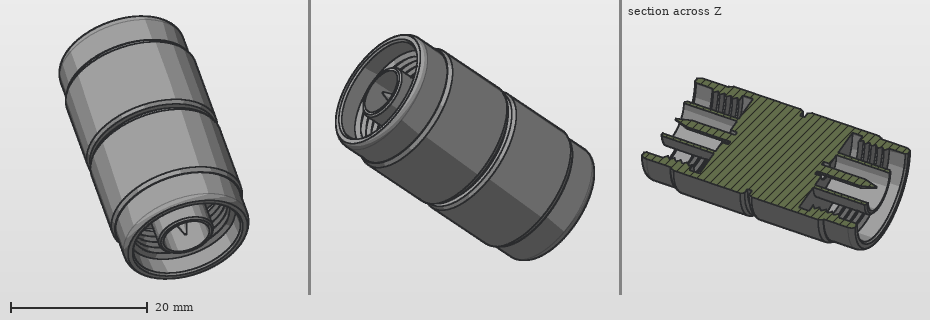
import cadquery as cq

length = 34.8
half_length = length / 2
sleeve_radius = 20.0 / 2
nose_radius = 19.1 / 2
groove_radius = 17.5 / 2
groove_width = 0.7

nose_round_length = 0.97
nose_face_radius = 9.12
nose_length = 4.9
sleeve_bevel_length = 0.7
sleeve_back_bevel = 0.6
sleeve_bevel_radius = 9.67

mouth_radius = 8.42
mouth_chamfer_depth = 0.35
bore_radius = 16.32 / 2
bore_depth = 2.95
thread_crest_radius = 7.45
thread_root_radius = 16.0 / 2
thread_pitch = 1.05
crest_count = 5
relief_radius = 17.6 / 2
socket_depth = 9.25

tube_radius = 8.35 / 2
tube_bore_radius = 7.0 / 2
tube_chamfer = 0.28
tube_setback = 0.63
pin_radius = 1.67 / 2
pin_tip_radius = 0.15
pin_setback = 1.0
pin_cone_length = 2.25
pin_well_radius = 3.0 / 2
pin_well_chamfer = 0.1
pin_well_depth = 1.05


def revolve_about_x(profile):
    """Turn a closed (x, radius) profile around the X axis."""
    return profile.close().revolve(360, (0, 0, 0), (1, 0, 0))


def turned(points):
    return revolve_about_x(cq.Workplane("XY").polyline(points))


def outer_shell():
    """Solid left half, with x = 0 at the end face."""
    drop = nose_radius - nose_face_radius
    round_radius = (nose_round_length**2 + drop**2) / (2 * drop)
    mid_x = nose_round_length / 2
    mid_radius = (
        nose_radius - round_radius
        + (round_radius**2 - (nose_round_length - mid_x) ** 2) ** 0.5
    )
    sleeve_end = half_length - groove_width / 2
    profile = (
        cq.Workplane("XY")
        .moveTo(0, 0)
        .lineTo(0, nose_face_radius)
        .threePointArc((mid_x, mid_radius), (nose_round_length, nose_radius))
        .lineTo(nose_length, nose_radius)
        .lineTo(nose_length, sleeve_bevel_radius)
        .lineTo(nose_length + sleeve_bevel_length, sleeve_radius)
        .lineTo(sleeve_end - sleeve_back_bevel, sleeve_radius)
        .lineTo(sleeve_end, sleeve_bevel_radius)
        .lineTo(sleeve_end, groove_radius)
        .lineTo(half_length, groove_radius)
        .lineTo(half_length, 0)
    )
    return revolve_about_x(profile)


def socket_cavity():
    """Mouth, plain bore, ring-shaped thread teeth and the relief behind them."""
    points = [
        (0, 0),
        (0, mouth_radius),
        (mouth_chamfer_depth, bore_radius),
        (bore_depth, bore_radius),
    ]
    first_crest = bore_depth + thread_pitch / 2
    last_crest = first_crest + (crest_count - 1) * thread_pitch
    for tooth in range(crest_count):
        crest_x = first_crest + tooth * thread_pitch
        points.append((crest_x, thread_crest_radius))
        if tooth < crest_count - 1:
            points.append((crest_x + thread_pitch / 2, thread_root_radius))
    points += [
        (last_crest, relief_radius),
        (socket_depth, relief_radius),
        (socket_depth, 0),
    ]
    return turned(points)


def contact_tube():
    return turned([
        (tube_setback, tube_bore_radius),
        (tube_setback, tube_radius - tube_chamfer),
        (tube_setback + tube_chamfer, tube_radius),
        (socket_depth, tube_radius),
        (socket_depth, tube_bore_radius),
    ])


def pin_well():
    return turned([
        (socket_depth, 0),
        (socket_depth, pin_well_radius),
        (socket_depth + pin_well_chamfer, pin_well_radius - pin_well_chamfer),
        (socket_depth + pin_well_depth, pin_well_radius - pin_well_chamfer),
        (socket_depth + pin_well_depth, 0),
    ])


def centre_pin():
    return turned([
        (pin_setback, 0),
        (pin_setback, pin_tip_radius),
        (pin_setback + pin_cone_length, pin_radius),
        (half_length, pin_radius),
        (half_length, 0),
    ])


half = outer_shell().cut(socket_cavity()).cut(pin_well())
half = half.union(contact_tube()).union(centre_pin())
left_half = half.translate((-half_length, 0, 0))
result = left_half.union(left_half.mirror("YZ"))